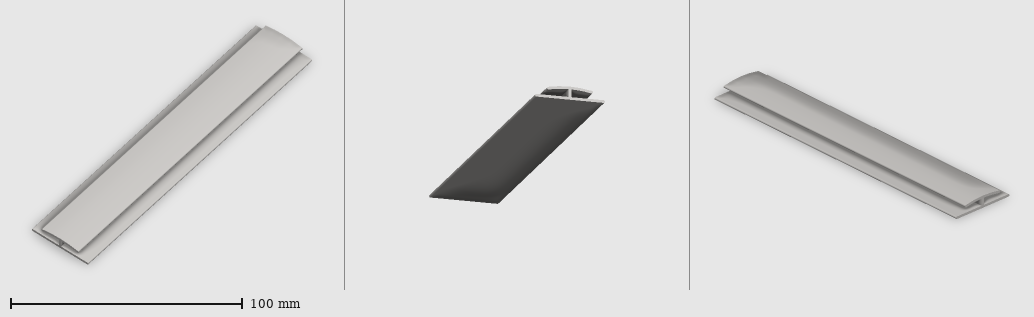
import cadquery as cq
import math

length = 152.4
base_width = 31.5
height = 6.0
base_thickness = 1.2
web_thickness = 1.2
cap_width = 20.7
cap_thickness = 1.2
cap_outer_radius = 48.8

edge_radius = cap_thickness / 2
cap_mid_radius = cap_outer_radius - edge_radius
cap_inner_radius = cap_outer_radius - cap_thickness
cap_center_z = height - cap_outer_radius
cap_half_angle = math.asin((cap_width / 2 - edge_radius) / cap_mid_radius)


def cap_point(radius, angle):
    """Point on an arc about the cap's center, with the angle taken from vertical."""
    return radius * math.sin(angle), cap_center_z + radius * math.cos(angle)


def cap_edge_point(side):
    """Outermost point of the rounded cap edge, along the arch's tangent."""
    angle = side * cap_half_angle
    x, z = cap_point(cap_mid_radius, angle)
    return x + side * edge_radius * math.cos(angle), z - edge_radius * math.sin(cap_half_angle)


def extrude_profile(sketch):
    """Extrude an XZ profile along Y, centered on the origin."""
    return sketch.extrude(length / 2, both=True)


def make_base():
    profile = (
        cq.Workplane("XZ")
        .center(0, base_thickness / 2)
        .slot2D(base_width, base_thickness)
    )
    return extrude_profile(profile)


def make_web():
    bottom = base_thickness / 2
    top = height - cap_thickness / 2
    profile = (
        cq.Workplane("XZ")
        .center(0, (bottom + top) / 2)
        .rect(web_thickness, top - bottom)
    )
    return extrude_profile(profile)


def make_cap():
    profile = (
        cq.Workplane("XZ")
        .moveTo(*cap_point(cap_outer_radius, -cap_half_angle))
        .threePointArc((0, height), cap_point(cap_outer_radius, cap_half_angle))
        .threePointArc(cap_edge_point(1), cap_point(cap_inner_radius, cap_half_angle))
        .threePointArc((0, height - cap_thickness), cap_point(cap_inner_radius, -cap_half_angle))
        .threePointArc(cap_edge_point(-1), cap_point(cap_outer_radius, -cap_half_angle))
        .close()
    )
    return extrude_profile(profile)


result = make_base().union(make_web()).union(make_cap())